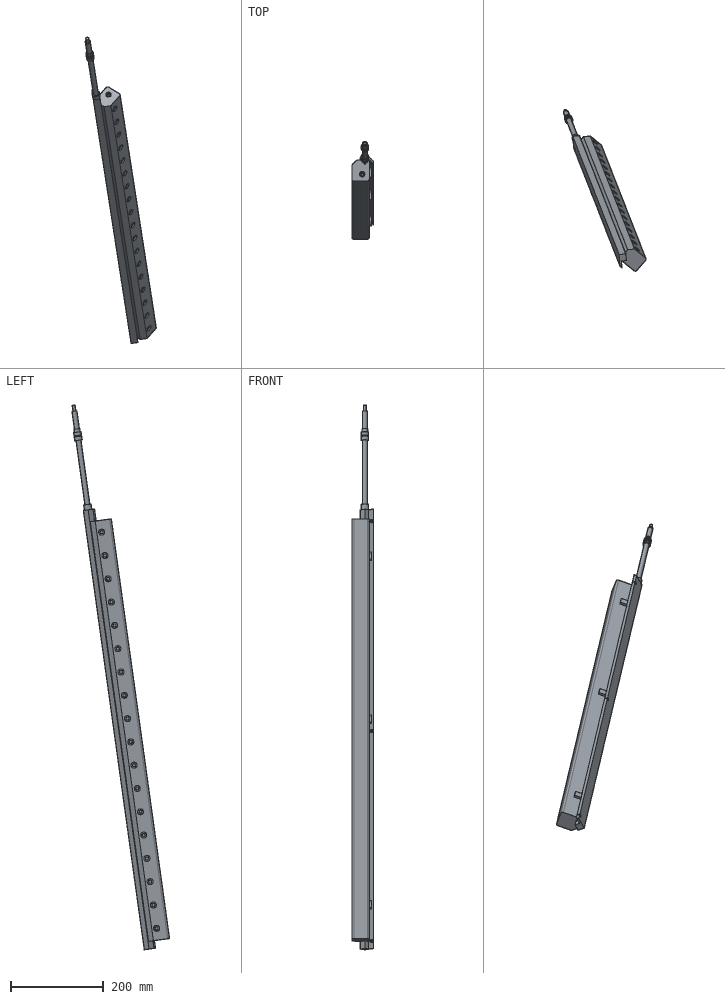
import cadquery as cq
import math

TILT = 7.9

HOUSING_LENGTH = 913.0
HOUSING_WIDTH = 38.0
HOUSING_BACK = 46.0
BACK_CHAMFER = 10.0
FRONT_RADIUS = 4.1

OUTLET_COUNT = 18
OUTLET_END_MARGIN = 26.0
OUTLET_V = 25.0
OUTLET_DIAMETER = 13.0
OUTLET_DEPTH = 4.0
OUTLET_BORE_DIAMETER = 6.7
OUTLET_BORE_DEPTH = 9.0
OUTLET_PITCH = (HOUSING_LENGTH - 2 * OUTLET_END_MARGIN) / (OUTLET_COUNT - 1)

PORT_X = 22.0
PORT_V = 15.0
PORT_DIAMETER = 11.2
PORT_DEPTH = 5.0
PORT_BORE_DIAMETER = 6.7
PORT_BORE_DEPTH = 18.0

RAIL_X = 28.0
RAIL_V = 47.0
RAIL_HALF_DIAGONAL = 10.0
VALLEY_OFFSET = 7.6
FLANGE_TIP_X = 47.0
RAIL_BOTTOM_OVERHANG = 16.0
RAIL_TOP_OVERHANG = 26.0
RAIL_TOP = HOUSING_LENGTH + RAIL_TOP_OVERHANG
RAIL_PEAK_V = RAIL_V - RAIL_HALF_DIAGONAL
VALLEY_X = RAIL_X + VALLEY_OFFSET
VALLEY_V = RAIL_PEAK_V + VALLEY_OFFSET
FLANGE_TIP_BACK_V = RAIL_V + RAIL_HALF_DIAGONAL - (FLANGE_TIP_X - RAIL_X)

MOUNT_HOLE_DIAMETER = 6.7
MOUNT_HOLE_X = 42.0
MOUNT_HOLE_DRILL_LENGTH = 12.0
MOUNT_HOLE_WS = [0, HOUSING_LENGTH / 2, HOUSING_LENGTH]

CLIP_RIGHT_X = 42.0
CLIP_FRONT_V = 19.0
CLIP_LENGTH = 15.0
CLIP_WS = [77.0, 481.0, 836.0]

LEAD_SECTIONS = [
    (16.0, 12.0),
    (11.2, 140.0),
    (16.0, 8.0),
    (13.0, 2.0),
    (16.0, 7.0),
    (13.0, 7.0),
    (11.2, 39.0),
    (6.7, 13.0),
]


def flange_front_v(x):
    """V of the flange's front face, which slopes at 45 degrees from the valley to the tip."""
    return VALLEY_V - (x - VALLEY_X)


def prism(points, bottom, top):
    """A prism along W between two heights, over an outline of (x, v) points."""
    return cq.Workplane("XY").workplane(offset=bottom).polyline(points).close().extrude(top - bottom)


def rod(diameter, length, start, direction):
    """A cylinder from a start point (x, v, w) along a direction."""
    cylinder = cq.Solid.makeCylinder(diameter / 2, length, cq.Vector(*start), cq.Vector(*direction))
    return cq.Workplane(cylinder)


def tilted(body):
    """The body turned about X from the local frame into its leaning position."""
    return body.rotate((0, 0, 0), (1, 0, 0), -TILT)


def rail_profile():
    """Rail outline, from the left corner by the front peak and the flange to the back corner."""
    return [
        (RAIL_X - RAIL_HALF_DIAGONAL, RAIL_V),
        (RAIL_X, RAIL_PEAK_V),
        (VALLEY_X, VALLEY_V),
        (FLANGE_TIP_X, flange_front_v(FLANGE_TIP_X)),
        (FLANGE_TIP_X, FLANGE_TIP_BACK_V),
        (RAIL_X, RAIL_V + RAIL_HALF_DIAGONAL),
    ]


def make_housing():
    left_contact_x = RAIL_X - (HOUSING_BACK - RAIL_PEAK_V)
    outline = [
        (0, 0),
        (HOUSING_WIDTH, 0),
        (HOUSING_WIDTH, flange_front_v(HOUSING_WIDTH)),
        (VALLEY_X, VALLEY_V),
        (RAIL_X, RAIL_PEAK_V),
        (left_contact_x, HOUSING_BACK),
        (BACK_CHAMFER, HOUSING_BACK),
        (0, HOUSING_BACK - BACK_CHAMFER),
    ]
    housing = prism(outline, 0, HOUSING_LENGTH)
    housing = housing.faces("<Y").edges("|Z").fillet(FRONT_RADIUS)

    for index in range(OUTLET_COUNT):
        mouth = (0, OUTLET_V, OUTLET_END_MARGIN + index * OUTLET_PITCH)
        housing = housing.cut(rod(OUTLET_DIAMETER, OUTLET_DEPTH, mouth, (1, 0, 0)))
        housing = housing.cut(rod(OUTLET_BORE_DIAMETER, OUTLET_BORE_DEPTH, mouth, (1, 0, 0)))

    port_mouth = (PORT_X, PORT_V, HOUSING_LENGTH)
    housing = housing.cut(rod(PORT_DIAMETER, PORT_DEPTH, port_mouth, (0, 0, -1)))
    return housing.cut(rod(PORT_BORE_DIAMETER, PORT_BORE_DEPTH, port_mouth, (0, 0, -1)))


def add_clips(rail):
    clip_outline = [
        (HOUSING_WIDTH, CLIP_FRONT_V),
        (CLIP_RIGHT_X, CLIP_FRONT_V),
        (CLIP_RIGHT_X, flange_front_v(CLIP_RIGHT_X)),
        (HOUSING_WIDTH, flange_front_v(HOUSING_WIDTH)),
    ]
    for clip_w in CLIP_WS:
        rail = rail.union(prism(clip_outline, clip_w - CLIP_LENGTH / 2, clip_w + CLIP_LENGTH / 2))
    return rail


def drill_mount_holes(rail):
    across_flange = (math.sqrt(0.5), math.sqrt(0.5), 0)
    for hole_w in MOUNT_HOLE_WS:
        start = (MOUNT_HOLE_X, flange_front_v(MOUNT_HOLE_X), hole_w)
        rail = rail.cut(rod(MOUNT_HOLE_DIAMETER, MOUNT_HOLE_DRILL_LENGTH, start, across_flange))
    return rail


def add_lead(rail):
    bottom = RAIL_TOP
    for diameter, length in LEAD_SECTIONS:
        rail = rail.union(rod(diameter, length, (RAIL_X, RAIL_V, bottom), (0, 0, 1)))
        bottom += length
    return rail


def make_rail():
    rail = prism(rail_profile(), -RAIL_BOTTOM_OVERHANG, RAIL_TOP)
    rail = add_clips(rail)
    rail = drill_mount_holes(rail)
    return add_lead(rail)


housing = tilted(make_housing())
rail = tilted(make_rail())

result = cq.Compound.makeCompound([housing.solids().val(), rail.solids().val()])